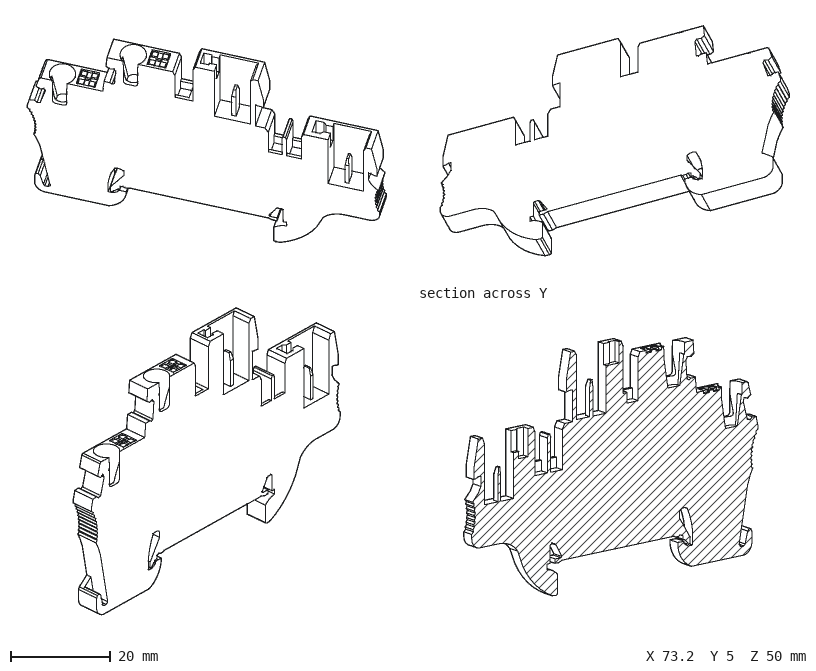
import cadquery as cq
import math


length = 73.2
thickness = 5.0
height = 50.0

lower_deck = 36.0
upper_deck = 47.0
jumper_floor_upper = 39.1
jumper_floor_lower = 28.1
middle_deck = 35.4
rail_face = 7.0
flank_bottom = 13.25

upper_gap_left = 30.65
tall_post_left = 34.4
lower_gap_left = 50.05
short_post_left = 56.9

grip_pitch_left = 0.9
grip_teeth_left = 10
grip_pitch_right = 0.95
grip_teeth_right = 8
grip_depth = 0.3

entry_y = 2.1
entry_radius = 2.6
entry_throat_radius = 2.55
entry_floor_radius = 1.5
entry_floor_shift = 0.5
entry_mouth_depth = 2.5
entry_depth = 8.8
entry_flat_throat = 2.4
entry_flat_floor = 1.4
entry_slot_width = 2.9
entry_slot_depth = 7.1
entry_slot_reach = 1.2
entry_slot_corner = 0.7

clamp_size = 3.8
clamp_y = 2.5
clamp_depth = 0.6
clamp_pad = 1.2
clamp_pad_offset = 1.1
clamp_pad_drop = 0.15
clamp_bar_length = 1.2
clamp_bar_width = 0.4

jumper_wall = 0.65
jumper_pocket_width = 3.6
jumper_pocket_depth = 2.2

socket_back_wall = 0.6
tall_socket_left = 38.85
tall_socket_floor = 35.7
short_socket_left = 62.5
short_socket_floor = 22.1
key_y = 2.6
key_neck_width = 1.75
key_neck_depth = 4.4

pin_y = 2.38
pin_width = 2.4
pin_tip_ratio = 0.55
pin_tip_length = 1.5

release_slot_depth = 3.8


def extrude_outline(points, y_start, y_end):
    """Solid with a closed XZ outline, between two Y positions."""
    plane = cq.Workplane("XZ", origin=(0, y_start, 0))
    return plane.polyline(points).close().extrude(y_start - y_end)


def block(x, y, z):
    """Box given by its (low, high) limits along each axis."""
    size = (x[1] - x[0], y[1] - y[0], z[1] - z[0])
    return cq.Workplane("XY").box(*size, centered=False).translate((x[0], y[0], z[0]))


def sag(radius, offset):
    """Drop of a circle from its apex at a sideways offset."""
    return radius - math.sqrt(radius**2 - offset**2)


def grip_teeth(apex_x, apex_z, radius, side, first_z, pitch, count):
    """Sawtooth points going down a concave flank; side is -1 (left) or +1 (right)."""
    points = []
    for index in range(count):
        peak_z = first_z - index * pitch
        peak_x = apex_x + side * sag(radius, peak_z - apex_z)
        points.append((peak_x, peak_z))
        if index < count - 1:
            valley_z = peak_z - pitch / 2
            valley_x = apex_x + side * (sag(radius, valley_z - apex_z) - grip_depth)
            points.append((valley_x, valley_z))
    return points


left_grip_top = 25.6
left_grip_apex_z = 19.9
left_grip_radius = 11.35
left_grip_apex = sag(left_grip_radius, left_grip_top - left_grip_apex_z)
left_grip = grip_teeth(
    left_grip_apex, left_grip_apex_z, left_grip_radius, -1,
    left_grip_top, grip_pitch_left, grip_teeth_left,
)

right_grip_top = 23.1
right_grip_bottom = right_grip_top - (grip_teeth_right - 1) * grip_pitch_right
right_grip_apex_z = 20.1
right_grip_radius = 10.25
right_grip_apex = length - sag(right_grip_radius, right_grip_bottom - right_grip_apex_z)
right_grip = grip_teeth(
    right_grip_apex, right_grip_apex_z, right_grip_radius, 1,
    right_grip_top, grip_pitch_right, grip_teeth_right,
)

left_foot_top = (3.95, rail_face)
left_foot_slope = 0.18
left_wall_top = 14.35
left_wall_top_x = left_foot_top[0] - left_foot_slope * (left_wall_top - rail_face)
left_foot_side = [
    (1.5, 4.7), (1.75, 5.2), left_foot_top, (left_wall_top_x, left_wall_top), (2.0, 16.3),
]
left_marker_catch = [
    (0, 26.5), (0.45, 28.3), (1.5, 28.45), (2.05, 27.95), (2.7, 28.2),
    (3.7, 32.05), (3.45, 32.8), (2.6, 32.4), (1.8, 33.1), (2.5, 35.7), (2.85, lower_deck),
]
upper_marker_catch = [
    (15.65, lower_deck), (15.95, 39.2), (17.1, 39.2), (17.6, 38.9), (18.1, 39.2),
    (18.4, 43.2), (18.0, 43.75), (17.05, 43.6), (16.3, 44.1), (16.5, upper_deck),
]
upper_left_steps = [
    (30.2, upper_deck), (upper_gap_left, 45.95), (upper_gap_left, jumper_floor_upper),
    (tall_post_left, jumper_floor_upper), (tall_post_left, 48.9), (34.9, height),
]
tall_post_catch = [(47.9, height), (49.0, 44.35), (49.0, 41.8), (48.5, 41.9), (47.4, 42.0)]
right_steps = [
    (47.4, middle_deck), (49.4, middle_deck), (lower_gap_left, 34.25),
    (lower_gap_left, jumper_floor_lower), (short_post_left, jumper_floor_lower),
    (short_post_left, 35.0), (57.4, lower_deck),
]
short_post_catch = [
    (71.5, lower_deck), (72.6, 30.2), (72.6, 27.7), (72.1, 27.8), (71.35, 28.1),
    (70.8, 28.1), (70.8, 26.05), (71.5, 24.7),
]
right_hook_face = [(51.15, 0.2), (51.15, 4.4)]
right_hook_slit = [
    (53.85, 5.8), (53.85, 6.9), (53.1, 6.9), (53.1, 10.5), (52.8, 10.8), (52.0, 10.8),
    (51.65, 10.5), (50.2, 7.9), (50.4, 7.7), (51.9, 7.7), (51.9, 6.7),
    (50.9, 6.65), (50.05, rail_face),
]
spring_tongue = [
    (21.45, rail_face), (21.0, 6.8), (20.3, 6.8), (19.8, rail_face), (19.25, 6.8),
    (19.25, 6.0), (18.8, 5.9), (18.0, 5.1), (17.8, 4.75), (17.3, 4.75), (17.3, 6.15), (20.05, 10.7),
]
left_hook = [(16.8, 4.45), (17.85, 4.45), (18.8, 5.1), (18.95, 5.6), (20.55, 5.6)]


def make_body():
    """Full-thickness plate with the side outline, drawn clockwise from the left foot."""
    outline = (
        cq.Workplane("XZ")
        .moveTo(3.45, 0)
        .threePointArc((2.1, 0.8), (1.5, 2.05))
        .polyline(left_foot_side, includeCurrent=True)
        .polyline(left_grip[::-1], includeCurrent=True)
        .polyline(left_marker_catch, includeCurrent=True)
        .polyline(upper_marker_catch, includeCurrent=True)
        .polyline(upper_left_steps, includeCurrent=True)
        .polyline(tall_post_catch, includeCurrent=True)
        .polyline(right_steps, includeCurrent=True)
        .polyline(short_post_catch, includeCurrent=True)
        .polyline(right_grip, includeCurrent=True)
        .lineTo(length, 15.6)
        .threePointArc((72.5, 13.9), (71.0, flank_bottom))
        .lineTo(66.2, flank_bottom)
        .threePointArc((63.4, 12.6), (61.45, 11.0))
        .lineTo(60.15, 7.6)
        .threePointArc((57.3, 3.5), (52.5, 0.1))
        .lineTo(51.6, 0)
        .polyline(right_hook_face, includeCurrent=True)
        .threePointArc((52.25, 5.3), right_hook_slit[0])
        .polyline(right_hook_slit[1:], includeCurrent=True)
        .polyline(spring_tongue, includeCurrent=True)
        .lineTo(20.05, 12.0)
        .threePointArc((19.0, 12.5), (18.15, 12.3))
        .threePointArc((17.1, 9.4), left_hook[0])
        .polyline(left_hook[1:], includeCurrent=True)
        .threePointArc((19.5, 2.1), (17.0, 0))
        .close()
    )
    return outline.extrude(-thickness)


def make_release_slot():
    """Slot in the left foot for releasing it from the rail; a thin web stays behind it."""
    wall_bottom = 2.4
    wall_bottom_x = left_foot_top[0] + left_foot_slope * (rail_face - wall_bottom)
    outline = [
        (1.75, 5.2), (2.3, 5.4), (2.7, 4.9), (3.4, 2.35), (3.65, 2.0), (4.3, 2.0),
        (wall_bottom_x, wall_bottom), left_foot_top, (3.4, rail_face),
    ]
    return extrude_outline(outline, 0, release_slot_depth)


def make_conductor_entry(x, deck):
    """Round mouth over a funnel with one tilted flat, and a slot open to the front face."""
    throat = deck - entry_mouth_depth
    floor = deck - entry_depth
    kept_side = [
        (x - entry_flat_floor, floor), (x - entry_flat_throat, throat),
        (x + entry_radius, throat), (x + entry_radius, floor),
    ]
    kept_part = extrude_outline(kept_side, 0, thickness)

    mouth = cq.Solid.makeCone(
        entry_throat_radius, entry_radius, deck - throat, cq.Vector(x, entry_y, throat)
    )
    funnel = (
        cq.Workplane("XY", origin=(x, entry_y, floor))
        .center(0, entry_floor_shift)
        .circle(entry_floor_radius)
        .workplane(offset=throat - floor)
        .center(0, -entry_floor_shift)
        .circle(entry_throat_radius)
        .loft()
        .intersect(kept_part)
    )

    half_slot = entry_slot_width / 2
    slot = block(
        (x - half_slot, x + half_slot), (0, entry_slot_reach), (deck - entry_slot_depth, deck)
    )
    slot = slot.edges("|Y and <Z").fillet(entry_slot_corner)
    return funnel.union(cq.Workplane(obj=mouth)).union(slot)


def make_clamp_opening(x, deck):
    """Square recess holding four corner pads and a short central bar."""
    floor = deck - clamp_depth
    base = cq.Workplane("XY", origin=(x, clamp_y, floor))
    recess = base.rect(clamp_size, clamp_size).extrude(clamp_depth)
    pads = (
        base.rect(2 * clamp_pad_offset, 2 * clamp_pad_offset, forConstruction=True)
        .vertices()
        .rect(clamp_pad, clamp_pad)
        .extrude(clamp_depth - clamp_pad_drop)
    )
    bar = base.rect(clamp_bar_length, clamp_bar_width).extrude(clamp_depth - clamp_pad_drop)
    return recess.cut(pads).cut(bar)


def make_jumper_pocket(left, right, floor):
    """Pocket sunk into the floor of a gap."""
    y_limits = (jumper_wall, jumper_wall + jumper_pocket_width)
    return block((left, right), y_limits, (floor - jumper_pocket_depth, floor))


def make_socket(left, right, floor, top, chamfer_width, chamfer_height):
    """Plug socket open to the front and top, with a chamfered entry on the right wall."""
    outline = [
        (left, floor), (right, floor), (right, top - chamfer_height),
        (right + chamfer_width, top), (left, top),
    ]
    return extrude_outline(outline, 0, thickness - socket_back_wall)


def make_keyhole(left, right, width, recess_depth, chamfer, socket_left, top):
    """Coding recess in the post, joined to the socket by a narrower neck."""
    half = width / 2
    recess = block((left, right), (key_y - half, key_y + half), (top - recess_depth, top))
    if chamfer:
        recess = recess.edges("|Z and >X").chamfer(chamfer)
    half_neck = key_neck_width / 2
    neck = block(
        (right - half_neck, socket_left),
        (key_y - half_neck, key_y + half_neck),
        (top - key_neck_depth, top),
    )
    return recess.union(neck)


def make_pin(x, width_x, floor, tip):
    """Upright contact pin with a tapered tip."""
    shoulder = tip - pin_tip_length
    shaft = cq.Workplane("XY", origin=(x, pin_y, floor)).rect(width_x, pin_width)
    shaft = shaft.extrude(shoulder - floor)
    tip_part = (
        cq.Workplane("XY", origin=(x, pin_y, shoulder))
        .rect(width_x, pin_width)
        .workplane(offset=pin_tip_length)
        .rect(width_x * pin_tip_ratio, pin_width * pin_tip_ratio)
        .loft()
    )
    return shaft.union(tip_part)


def make_blade(left, right, floor, tip):
    """Full-thickness blade standing in the lower gap, bevelled along its top."""
    bevel = 0.2
    bevel_height = 0.65
    outline = [
        (left, floor), (left, tip - bevel_height), (left + bevel, tip),
        (right - bevel, tip), (right, tip - bevel_height), (right, floor),
    ]
    return extrude_outline(outline, 0, thickness)


result = make_body().cut(make_release_slot())

for entry_x, clamp_x, deck in ((6.7, 11.9, lower_deck), (21.45, 26.6, upper_deck)):
    result = result.cut(make_conductor_entry(entry_x, deck))
    result = result.cut(make_clamp_opening(clamp_x, deck))

upper_pocket_right = 33.45
result = result.cut(make_jumper_pocket(upper_gap_left, upper_pocket_right, jumper_floor_upper))
result = result.cut(make_jumper_pocket(lower_gap_left, short_post_left, jumper_floor_lower))
blade_root = jumper_floor_lower - jumper_pocket_depth
result = result.union(make_blade(left=52.9, right=53.85, floor=blade_root, tip=33.8))

tall_socket = make_socket(
    left=tall_socket_left, right=46.3, floor=tall_socket_floor, top=height,
    chamfer_width=0.5, chamfer_height=0.9,
)
tall_keyhole = make_keyhole(
    left=35.55, right=37.3, width=2.6, recess_depth=key_neck_depth, chamfer=0,
    socket_left=tall_socket_left, top=height,
)
tall_pin = make_pin(x=42.6, width_x=0.95, floor=tall_socket_floor, tip=43.25)
result = result.cut(tall_socket).cut(tall_keyhole).union(tall_pin)

short_socket = make_socket(
    left=short_socket_left, right=69.8, floor=short_socket_floor, top=lower_deck,
    chamfer_width=0.5, chamfer_height=1.3,
)
short_keyhole = make_keyhole(
    left=58.8, right=61.1, width=2.9, recess_depth=5.85, chamfer=0.6,
    socket_left=short_socket_left, top=lower_deck,
)
short_pin = make_pin(x=66.1, width_x=0.7, floor=short_socket_floor, tip=29.2)
result = result.cut(short_socket).cut(short_keyhole).union(short_pin)